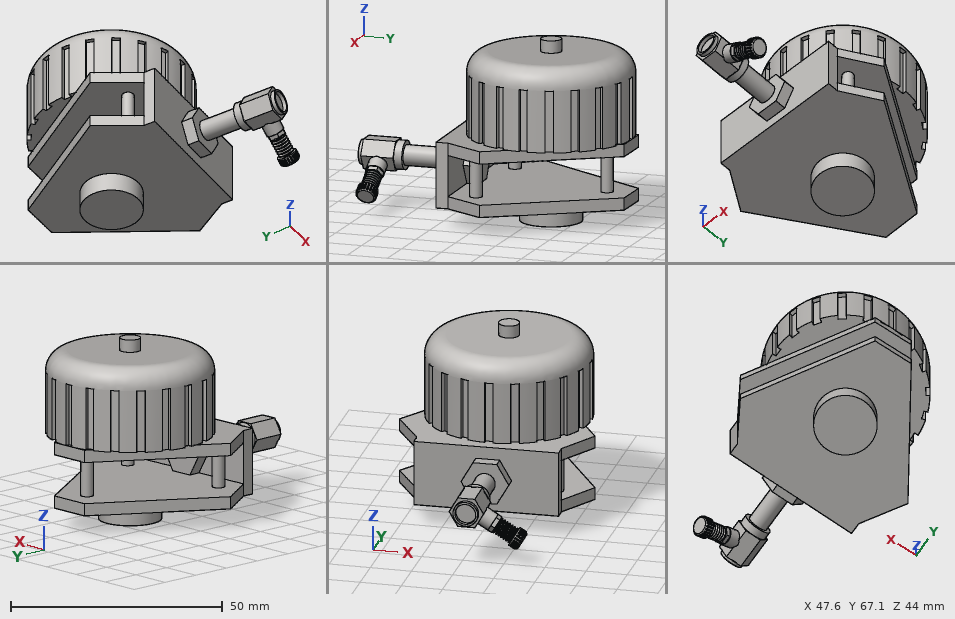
import cadquery as cq
import math


plate_thickness = 3.0
bracket_height = 16.0
rear_edge_y = 20.0
rear_edge_left_x = -5.4
rear_edge_right_x = 4.9
tip_y = -9.7
left_tip_x = -24.27
tip_span = 47.58
block_width = 35.0
block_thickness = 3.0
block_front = -23.0
block_offset = -0.35
front_angle = 1.24

knob_radius = 20.0
knob_straight_height = 15.0
dome_radius = 5.0
flute_count = 20
flute_width = 2.0
flute_depth = 1.0
shaft_diameter = 5.0
shaft_height = 3.0
boss_diameter = 15.0
boss_height = 5.0

post_diameter = 3.0
post_centers = [(0.0, 14.0), (-15.1, -14.4), (15.1, -13.5)]

nut_flats = 10.0
nut_thickness = 3.0
stem_diameter = 5.0
stem_length = 10.0
collar_diameter = 7.0
collar_length = 2.0
body_flats = 7.2
body_length = 8.0
rim_diameter = 6.0
rim_length = 1.0
rim_bore = 5.0

port_angle = 31.2
port_diameter = 4.5
port_shoulder = 6.5
port_hex_end = 7.6
thread_diameter = 4.0
thread_root = 3.0
thread_crest = 0.15
thread_count = 7
cap_start = 12.5
cap_length = 2.3
cap_diameter = 5.0
cap_chamfer = 0.5
cap_lip = 0.4
knurl_count = 20
knurl_width = 0.3
knurl_depth = 0.25

fitting_z = bracket_height / 2
block_back = block_front + block_thickness


def cylinder(diameter, bottom, height):
    """Cylinder along Z."""
    return cq.Workplane("XY").workplane(offset=bottom).circle(diameter / 2).extrude(height)


def hexagon(flats, bottom, height):
    """Hexagonal bar along Z with corners on the X axis."""
    corners = flats / math.cos(math.pi / 6)
    return cq.Workplane("XY").workplane(offset=bottom).polygon(6, corners).extrude(height)


def turned(x, y):
    """Point (x, y) turned by the front angle about the knob axis."""
    angle = math.radians(front_angle)
    return (
        x * math.cos(angle) - y * math.sin(angle),
        x * math.sin(angle) + y * math.cos(angle),
    )


def make_bracket():
    half_width = block_width / 2
    outline = [
        (rear_edge_left_x, rear_edge_y),
        (left_tip_x, tip_y),
        turned(block_offset - half_width, block_back),
        turned(block_offset + half_width, block_back),
        (left_tip_x + tip_span, tip_y),
        (rear_edge_right_x, rear_edge_y),
    ]
    plate = cq.Workplane("XY").polyline(outline).close().extrude(plate_thickness)
    block = (
        cq.Workplane("XY")
        .box(block_width, block_thickness, bracket_height, centered=(True, False, False))
        .translate((block_offset, block_front, 0))
        .rotate((0, 0, 0), (0, 0, 1), front_angle)
    )
    gap = bracket_height - 2 * plate_thickness
    posts = (
        cq.Workplane("XY")
        .workplane(offset=plate_thickness)
        .pushPoints(post_centers)
        .circle(post_diameter / 2)
        .extrude(gap)
    )
    upper_plate = plate.translate((0, 0, plate_thickness + gap))
    return plate.union(upper_plate).union(block).union(posts)


def make_knob():
    knob_height = knob_straight_height + dome_radius
    knob = cylinder(2 * knob_radius, bracket_height, knob_height)
    knob = knob.faces(">Z").edges().fillet(dome_radius)
    flutes = (
        cq.Workplane("XY")
        .workplane(offset=bracket_height)
        .polarArray(knob_radius, 0, 360, flute_count)
        .rect(2 * flute_depth, flute_width)
        .extrude(knob_straight_height)
    )
    shaft = cylinder(shaft_diameter, bracket_height + knob_height, shaft_height)
    return knob.cut(flutes).union(shaft)


def make_thread():
    """Row of tapered rings around Z between the hexagonal section and the cap."""
    pitch = (cap_start - port_hex_end) / thread_count
    profile = [(0, port_hex_end), (thread_root / 2, port_hex_end)]
    for index in range(thread_count):
        ring_start = port_hex_end + index * pitch
        crest_start = ring_start + (pitch - thread_crest) / 2
        profile.append((thread_diameter / 2, crest_start))
        profile.append((thread_diameter / 2, crest_start + thread_crest))
        profile.append((thread_root / 2, ring_start + pitch))
    profile.append((0, cap_start))
    return cq.Workplane("XZ").polyline(profile).close().revolve(360, (0, 0, 0), (0, 1, 0))


def make_port():
    """Side port built along +Z from the fitting axis, then tipped below +X."""
    port = cylinder(port_diameter, 0, port_shoulder)
    hex_flats = port_diameter * math.cos(math.pi / 6)
    hex_section = hexagon(hex_flats, port_shoulder, port_hex_end - port_shoulder)
    port = port.union(hex_section)
    port = port.union(make_thread())

    knurl = (
        cq.Workplane("XY")
        .workplane(offset=cap_start + cap_lip)
        .polarArray(cap_diameter / 2, 0, 360, knurl_count)
        .rect(2 * knurl_depth, knurl_width)
        .extrude(cap_length - cap_lip)
    )
    cap = cylinder(cap_diameter, cap_start, cap_length)
    cap = cap.faces(">Z").edges().chamfer(cap_chamfer).cut(knurl)
    port = port.union(cap).rotate((0, 0, 0), (0, 0, 1), 90)
    return port.rotate((0, 0, 0), (0, 1, 0), 90 + port_angle)


def make_fitting():
    """Fitting built along +Z as distance forward of the knob axis, then laid along -Y."""
    front_nut = -block_front
    rear_nut = -block_back - nut_thickness
    stem_start = front_nut + nut_thickness
    collar_start = stem_start + stem_length
    body_start = collar_start + collar_length
    body_end = body_start + body_length

    fitting = hexagon(nut_flats, rear_nut, nut_thickness)
    fitting = fitting.union(hexagon(nut_flats, front_nut, nut_thickness))
    fitting = fitting.union(cylinder(stem_diameter, stem_start, stem_length))
    fitting = fitting.union(cylinder(collar_diameter, collar_start, collar_length))
    fitting = fitting.union(hexagon(body_flats, body_start, body_length))
    rim = cylinder(rim_diameter, body_end, rim_length)
    rim = rim.cut(cylinder(rim_bore, body_end, rim_length))
    fitting = fitting.union(rim).rotate((0, 0, 0), (1, 0, 0), 90)

    body_middle = (body_start + body_end) / 2
    fitting = fitting.union(make_port().translate((0, -body_middle, 0)))
    return fitting.translate((0, 0, fitting_z)).rotate((0, 0, 0), (0, 0, 1), front_angle)


boss = cylinder(boss_diameter, -boss_height, boss_height)
result = make_bracket().union(make_knob()).union(boss).union(make_fitting())